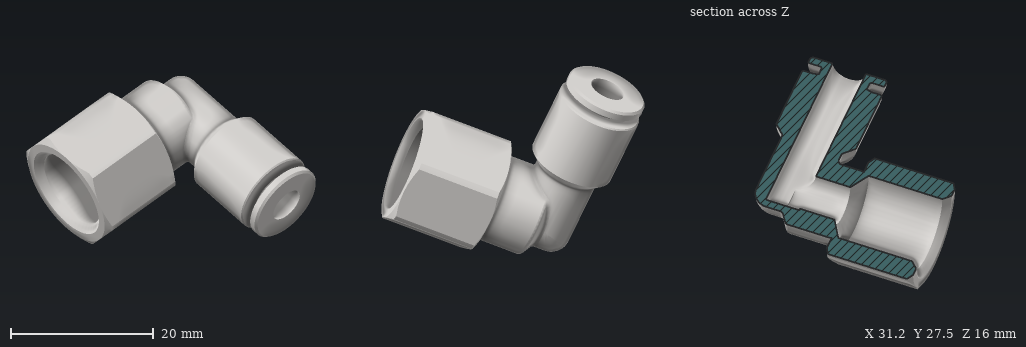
import cadquery as cq
import math


nut_flats = 16.0
nut_corner_radius = 9.0
nut_bevel_length = 0.55
nut_front = -21.45
nut_back = -8.45

body_radius = 6.27
body_shoulder = -1.6
body_cone_length = 1.2
body_base_chamfer = 0.15

elbow_radius = 4.5
elbow_tube_end = 8.75
elbow_corner_fillet = 2.55
blend_fillet = 0.62
edge_margin = 0.03

collar_radius = 6.02
collar_start = 9.52
collar_end = 19.55
collar_chamfer = 0.2
collar_fillet_reach = 0.22
collar_fillet_radius = collar_fillet_reach / math.tan(math.radians(22.5))
collar_lip_radius = 4.37
collar_lip_length = 0.2
neck_chamfer = 0.2
neck_radius = 3.65
ring_radius = 5.77
ring_start = 21.0
ring_end = 22.2
ring_chamfer_length = 0.3

socket_radius = 5.77
socket_mouth_radius = 6.8
socket_bottom = -9.35
socket_cone_length = 1.65
nut_bore_radius = 3.0
tube_bore_radius = 2.5
tube_bore_start = -3.28

COS_45 = math.cos(math.radians(45))


def revolve_y(points):
    """Turn an outline of (radius, y) points about the Y axis."""
    return cq.Workplane("XY").polyline(points).close().revolve(360, (0, 0), (0, 1))


def cylinder_x(radius, start, end):
    """Cylinder on the X axis between two X positions."""
    return cq.Workplane("YZ").workplane(offset=start).circle(radius).extrude(end - start)


def cylinder_y(radius, start, end):
    """Cylinder on the Y axis between two Y positions."""
    return cq.Workplane("XZ", origin=(0, end, 0)).circle(radius).extrude(end - start)


def make_nut():
    """Hexagon with its corners rounded and both ends bevelled down to the flats."""
    length = nut_back - nut_front
    across_corners = nut_flats / math.cos(math.radians(30))
    hexagon = (
        cq.Workplane("XZ", origin=(0, nut_back, 0))
        .polygon(6, across_corners)
        .extrude(length)
    )
    face_radius = nut_flats / 2
    envelope = revolve_y([
        (0, nut_front),
        (face_radius, nut_front),
        (nut_corner_radius, nut_front + nut_bevel_length),
        (nut_corner_radius, nut_back - nut_bevel_length),
        (face_radius, nut_back),
        (0, nut_back),
    ])
    return hexagon.intersect(envelope)


def prism_z(points):
    """Prism along Z, as deep as the nut is wide."""
    return cq.Workplane("XY").polyline(points).close().extrude(nut_corner_radius, both=True)


def make_mitred_elbow():
    """Two equal cylinders joined along the diagonal plane x + y = 0."""
    tube_arm = cylinder_x(elbow_radius, -elbow_radius, elbow_tube_end)
    nut_arm = cylinder_y(elbow_radius, nut_back, elbow_radius)
    reach = 2 * elbow_tube_end
    nut_side = prism_z([(-reach, reach), (reach, -reach), (-reach, -reach)])
    return tube_arm.cut(nut_side).union(nut_arm.intersect(nut_side))


def make_body():
    """Round body with a coned shoulder narrowing to the elbow."""
    shoulder_end = body_shoulder + body_cone_length
    return revolve_y([
        (0, nut_back),
        (body_radius - body_base_chamfer, nut_back),
        (body_radius, nut_back + body_base_chamfer),
        (body_radius, body_shoulder),
        (elbow_radius, shoulder_end),
        (0, shoulder_end),
    ])


def blend_shoulder(elbow):
    """Round both rims of the shoulder and the seam where the tube arm enters the body."""
    shoulder_zone = cq.selectors.BoxSelector(
        (-nut_corner_radius, -elbow_radius - edge_margin, -nut_corner_radius),
        (nut_corner_radius, 0, nut_corner_radius),
        boundingbox=True,
    )
    return elbow.edges(shoulder_zone).edges("not %LINE").fillet(blend_fillet)


def round_outer_corner(fitting):
    """Round the mitre edge on the outside of the bend, on one half, and mirror it in Z = 0."""
    span = 2 * (ring_end - nut_front)
    upper_half = fitting.intersect(cq.Workplane("XY").rect(span, span).extrude(span))
    inner_zone = prism_z([(0, 0), (span, 0), (span, -span), (0, -span)])
    mitre_zone = cq.selectors.BoxSelector(
        (-span, -edge_margin, -span),
        (edge_margin, span, span),
        boundingbox=True,
    )
    outer_side = upper_half.cut(inner_zone)
    outer_side = outer_side.edges(mitre_zone).edges("%ELLIPSE").fillet(elbow_corner_fillet)
    return outer_side.union(upper_half.intersect(inner_zone)).mirror("XY", union=True)


def make_collar():
    """Collar, neck and release ring turned about the X axis."""
    cone_start = collar_start - (collar_radius - elbow_radius)
    return (
        cq.Workplane("XY")
        .moveTo(cone_start - collar_fillet_reach, 0)
        .lineTo(cone_start - collar_fillet_reach, elbow_radius)
        .radiusArc(
            (cone_start + collar_fillet_reach * COS_45, elbow_radius + collar_fillet_reach * COS_45),
            -collar_fillet_radius,
        )
        .lineTo(collar_start, collar_radius)
        .lineTo(collar_end - collar_chamfer, collar_radius)
        .lineTo(collar_end, collar_radius - collar_chamfer)
        .lineTo(collar_end, collar_lip_radius)
        .lineTo(collar_end + collar_lip_length, neck_radius)
        .lineTo(ring_start - neck_chamfer, neck_radius)
        .lineTo(ring_start, neck_radius + neck_chamfer)
        .lineTo(ring_start, ring_radius)
        .lineTo(ring_end - ring_chamfer_length, ring_radius)
        .lineTo(ring_end, ring_radius - ring_chamfer_length)
        .lineTo(ring_end, 0)
        .close()
        .revolve(360, (0, 0), (1, 0))
    )


def make_nut_bore():
    """Chamfered socket with a coned bottom, running on into the elbow."""
    return revolve_y([
        (0, nut_front),
        (socket_mouth_radius, nut_front),
        (socket_radius, nut_front + socket_mouth_radius - socket_radius),
        (socket_radius, socket_bottom),
        (nut_bore_radius, socket_bottom + socket_cone_length),
        (nut_bore_radius, 0),
        (0, 0),
    ])


elbow = blend_shoulder(make_mitred_elbow().union(make_body()))
outside = elbow.union(make_collar()).union(make_nut())
tube_bore = cylinder_x(tube_bore_radius, tube_bore_start, ring_end)
bores = make_nut_bore().union(tube_bore)
fitting = round_outer_corner(outside.cut(bores))
result = cq.Workplane(fitting.solids().val())